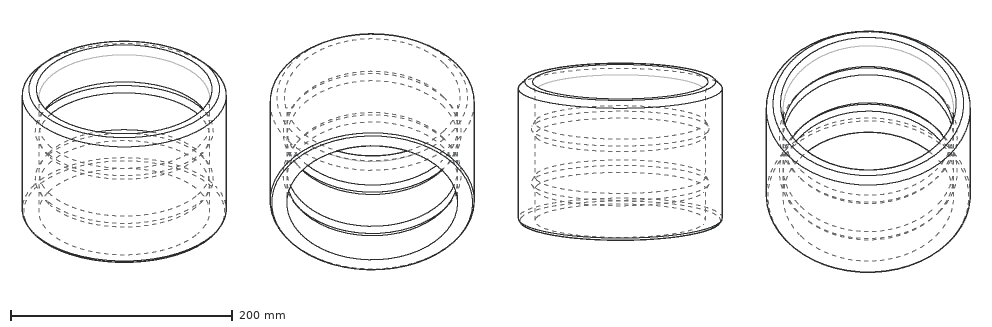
import cadquery as cq

outer_diameter = 184.5
height = 128.0
bore_diameter = 154.2

top_chamfer = 6.0
bottom_chamfer_height = 2.4
bottom_chamfer_width = 1.5

entry_diameter = 158.7
entry_depth = 9.0

groove_diameter = 160.9
groove_mouth_width = 11.5
groove_mouth_tops = (height - 37.5, height - 87.5)

outer_radius = outer_diameter / 2
bore_radius = bore_diameter / 2
entry_radius = entry_diameter / 2
groove_radius = groove_diameter / 2


def revolve_profile(points):
    """Revolve a closed (radius, height) outline around the Z axis."""
    return cq.Workplane("XZ").polyline(points).close().revolve(360, (0, 0, 0), (0, 1, 0))


def make_sleeve():
    """Ring with chamfered outer edges and a tapered bore entry."""
    return revolve_profile([
        (bore_radius, 0),
        (outer_radius - bottom_chamfer_width, 0),
        (outer_radius, bottom_chamfer_height),
        (outer_radius, height - top_chamfer),
        (outer_radius - top_chamfer, height),
        (entry_radius, height),
        (bore_radius, height - entry_depth),
    ])


def make_groove_cutter(mouth_top):
    """V-edged ring, extended inward to the axis to cut cleanly through the bore wall."""
    mouth_bottom = mouth_top - groove_mouth_width
    return revolve_profile([
        (0, mouth_bottom),
        (bore_radius, mouth_bottom),
        (groove_radius, mouth_bottom + groove_mouth_width / 2),
        (bore_radius, mouth_top),
        (0, mouth_top),
    ])


result = make_sleeve()
for groove_mouth_top in groove_mouth_tops:
    result = result.cut(make_groove_cutter(groove_mouth_top))